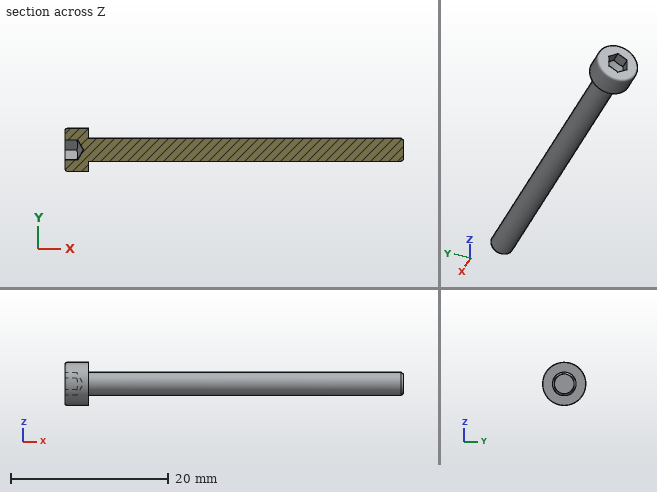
import cadquery as cq
import math

total_length = 43.0
head_length = 3.0
head_diameter = 5.5
shank_diameter = 3.0

head_edge_fillet = 0.3
tip_chamfer_length = 0.35
tip_chamfer_height = 0.25

socket_across_flats = 2.5
socket_depth = 1.5
socket_cone_angle = 120.0

socket_across_corners = socket_across_flats / math.cos(math.radians(30))
corner_radius = socket_across_corners / 2
cone_depth = corner_radius / math.tan(math.radians(socket_cone_angle / 2))


def make_head():
    head = cq.Workplane("YZ").circle(head_diameter / 2).extrude(head_length)
    return head.faces("<X").edges().fillet(head_edge_fillet)


def make_shank():
    shank_radius = shank_diameter / 2
    tip_radius = shank_radius - tip_chamfer_height
    profile = (
        cq.Workplane("XY")
        .moveTo(head_length, 0)
        .lineTo(head_length, shank_radius)
        .lineTo(total_length - tip_chamfer_length, shank_radius)
        .lineTo(total_length, tip_radius)
        .lineTo(total_length, 0)
        .close()
    )
    return profile.revolve(360, (0, 0, 0), (1, 0, 0))


def make_socket():
    hexagon = (
        cq.Workplane("YZ")
        .transformed(rotate=(0, 0, 90))
        .polygon(6, socket_across_corners)
        .extrude(socket_depth + cone_depth)
    )
    pointed_cylinder = (
        cq.Workplane("XY")
        .lineTo(0, corner_radius)
        .lineTo(socket_depth, corner_radius)
        .lineTo(socket_depth + cone_depth, 0)
        .close()
        .revolve(360, (0, 0, 0), (1, 0, 0))
    )
    return hexagon.intersect(pointed_cylinder)


result = make_head().union(make_shank()).cut(make_socket())